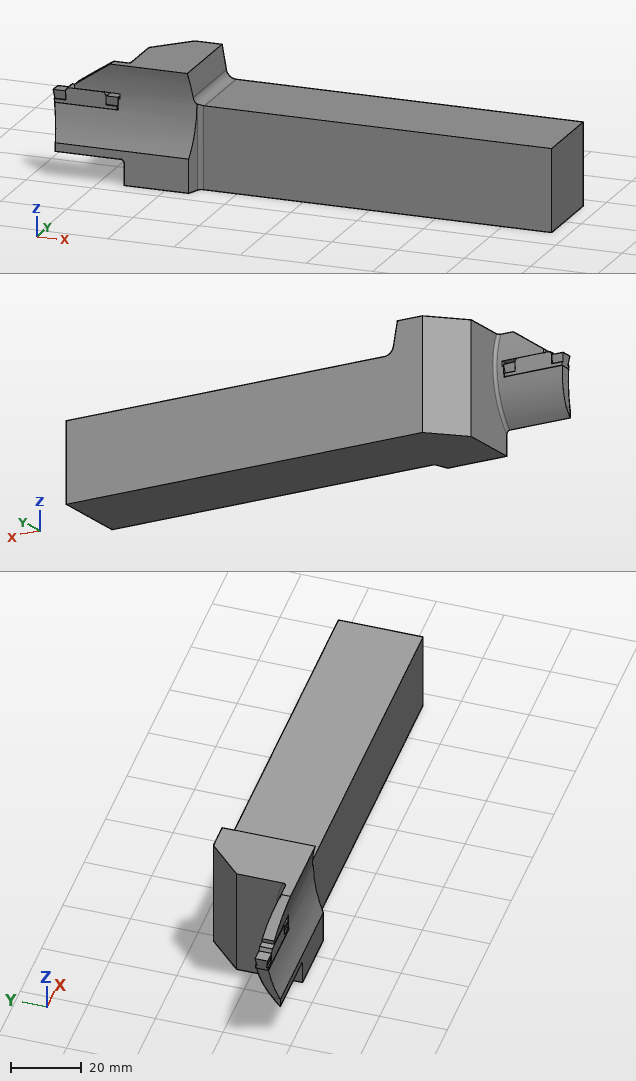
import cadquery as cq
import math

LENGTH = 150.0
WIDTH = 29.5
HEIGHT = 35.0

SHANK = 25.0
SHANK_FRONT_Y = WIDTH - SHANK
NECK_TOP_LEAN = math.tan(math.radians(10))
NECK_SIDE_LEAN = math.tan(math.radians(20))
HEAD_BACK_TOP_X = 41.0
HEAD_BACK_FRONT_X = 42.2
NECK_TOP_RADIUS = 3.0
NECK_SIDE_RADIUS = 1.5

HEAD_X = 22.6
HEAD_CHAMFER = 10.0

HOLLOW_RADIUS = 36.3
HOLLOW_DEPTH = 3.3
HOLLOW_Z = 25.4
BACK_RADIUS = 25.0
BACK_DEPTH = 6.9
BACK_Z = 24.9
ROOT_RADIUS = 0.9

NOSE_TOP_X = 0.5
NOSE_BOTTOM_X = 1.8
NOSE_BEND_Z = 10.5
JAW_X = 6.5
JAW_NOSE_Z = 27.2
JAW_TOP_X = 17.7

INSERT_LENGTH = 19.6
INSERT_Y = 3.2
INSERT_WIDTH = BACK_DEPTH - INSERT_Y
SEAT_Z = 21.2
SEAT_TOP_Z = 26.0
SEAT_RELIEF_Z = 24.5
SEAT_RELIEF_X = 20.1
TIP_Z = 24.9
TIP_LENGTH = 3.6
TIP_RISE_X = 4.4
END_CLEARANCE = 0.5
SIDE_RELIEF_LENGTH = 3.8
SIDE_RELIEF_Z = 22.2
SIDE_RELIEF_DEPTH = 0.5


def prism_along_y(points):
    """Extrude an XZ outline across the full width."""
    return cq.Workplane("XZ").polyline(points).close().extrude(-WIDTH)


def cylinder_along_x(radius, depth, z):
    """Full-length cylinder whose rearmost line lies at Y = depth."""
    return cq.Workplane("YZ").center(depth - radius, z).circle(radius).extrude(LENGTH)


def make_shank_and_head():
    """Shank and head as the common volume of a plan and a side outline."""
    neck_front_x = HEAD_BACK_FRONT_X + NECK_SIDE_LEAN * SHANK_FRONT_Y
    plan = (
        cq.Workplane("XY")
        .polyline([
            (HEAD_X, 0), (HEAD_BACK_FRONT_X, 0), (neck_front_x, SHANK_FRONT_Y),
            (LENGTH, SHANK_FRONT_Y), (LENGTH, WIDTH),
            (HEAD_X + HEAD_CHAMFER, WIDTH), (HEAD_X, WIDTH - HEAD_CHAMFER),
        ])
        .close()
        .extrude(HEIGHT)
        .edges(cq.NearestToPointSelector((neck_front_x, SHANK_FRONT_Y, HEIGHT / 2)))
        .fillet(NECK_SIDE_RADIUS)
    )
    neck_top_x = HEAD_BACK_TOP_X + NECK_TOP_LEAN * (HEIGHT - SHANK)
    side = (
        prism_along_y([
            (HEAD_X, 0), (LENGTH, 0), (LENGTH, SHANK),
            (neck_top_x, SHANK), (HEAD_BACK_TOP_X, HEIGHT), (HEAD_X, HEIGHT),
        ])
        .edges(cq.NearestToPointSelector((neck_top_x, WIDTH / 2, SHANK)))
        .fillet(NECK_TOP_RADIUS)
    )
    return plan.intersect(side)


def make_blade():
    """Thin curved blade reaching forward from the head."""
    outline = prism_along_y([
        (NOSE_BOTTOM_X, 0), (HEAD_BACK_TOP_X, 0), (HEAD_BACK_TOP_X, HEIGHT),
        (JAW_TOP_X, HEIGHT), (JAW_X, JAW_NOSE_Z), (JAW_X, SEAT_Z),
        (NOSE_TOP_X, SEAT_Z), (NOSE_BOTTOM_X, NOSE_BEND_Z),
    ])
    return outline.intersect(cylinder_along_x(BACK_RADIUS, BACK_DEPTH, BACK_Z))


def make_root_fillet():
    """Concave fillet where the rounded back of the blade meets the head."""
    ring = (
        cq.Workplane("XY", origin=(0, BACK_DEPTH - BACK_RADIUS, BACK_Z))
        .moveTo(HEAD_X - ROOT_RADIUS, BACK_RADIUS)
        .radiusArc((HEAD_X, BACK_RADIUS + ROOT_RADIUS), -ROOT_RADIUS)
        .lineTo(HEAD_X + ROOT_RADIUS, BACK_RADIUS + ROOT_RADIUS)
        .lineTo(HEAD_X + ROOT_RADIUS, BACK_RADIUS - ROOT_RADIUS)
        .lineTo(HEAD_X - ROOT_RADIUS, BACK_RADIUS - ROOT_RADIUS)
        .close()
        .revolve(360, (0, 0, 0), (1, 0, 0))
    )
    envelope = cq.Workplane("XY").box(LENGTH, WIDTH, HEIGHT, centered=False)
    return ring.intersect(envelope)


def make_seat():
    """Insert pocket, open at the nose, with a gap above its rear end."""
    return prism_along_y([
        (0, SEAT_Z), (INSERT_LENGTH, SEAT_Z), (INSERT_LENGTH, SEAT_RELIEF_Z),
        (SEAT_RELIEF_X, SEAT_RELIEF_Z), (SEAT_RELIEF_X, SEAT_TOP_Z), (0, SEAT_TOP_Z),
    ])


def make_holder():
    body = make_shank_and_head().union(make_blade()).union(make_root_fillet())
    body = body.cut(cylinder_along_x(HOLLOW_RADIUS, HOLLOW_DEPTH, HOLLOW_Z))
    return body.cut(make_seat())


def make_side_relief(start_x, edge_y, inward):
    """Wedge that narrows one side of a tip downward from its top face."""
    return (
        cq.Workplane("YZ", origin=(start_x, 0, 0))
        .polyline([
            (edge_y, TIP_Z), (edge_y + inward * SIDE_RELIEF_DEPTH, SIDE_RELIEF_Z),
            (edge_y, SIDE_RELIEF_Z),
        ])
        .close()
        .extrude(SIDE_RELIEF_LENGTH)
    )


def make_insert():
    """Bar with a lowered cutting tip at each end."""
    insert = (
        cq.Workplane("XZ", origin=(0, INSERT_Y, 0))
        .polyline([
            (END_CLEARANCE, SEAT_Z), (INSERT_LENGTH - END_CLEARANCE, SEAT_Z),
            (INSERT_LENGTH, TIP_Z), (INSERT_LENGTH - TIP_LENGTH, TIP_Z),
            (INSERT_LENGTH - TIP_RISE_X, SEAT_TOP_Z), (TIP_RISE_X, SEAT_TOP_Z),
            (TIP_LENGTH, TIP_Z), (0, TIP_Z),
        ])
        .close()
        .extrude(-INSERT_WIDTH)
    )
    for start_x in (0, INSERT_LENGTH - SIDE_RELIEF_LENGTH):
        for edge_y, inward in ((INSERT_Y, 1), (INSERT_Y + INSERT_WIDTH, -1)):
            insert = insert.cut(make_side_relief(start_x, edge_y, inward))
    return insert


holder = make_holder()
insert = make_insert()
result = cq.Compound.makeCompound([holder.solids().val(), insert.solids().val()])